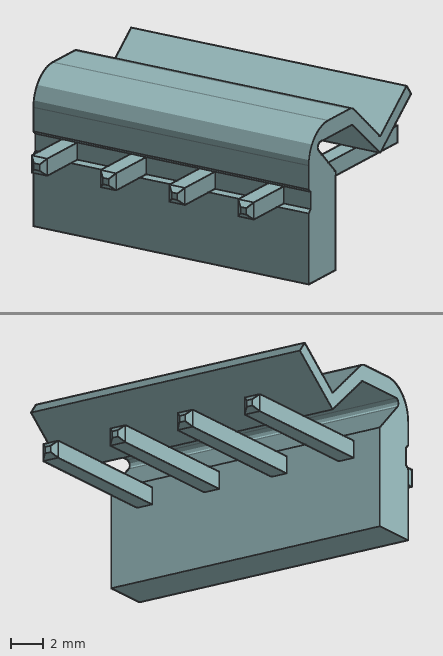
import cadquery as cq

length = 20.32
height = 10.2
wall_thickness = 3.15
bend_radius = 2.3
roof_thickness = 1.14
roof_underside = height - roof_thickness

wall_slope_bottom = 6.56
inner_corner_radius = 0.3
inner_corner_y = wall_thickness - (roof_underside - wall_slope_bottom)

knee_y = 5.1
knee_radius = 0.71
valley_y = 8.4
valley_top = 7.3
valley_bottom = 6.2
tip_upper = (11.48, 9.71)
tip_lower = (12.03, 9.02)

pin_count = 4
pin_pitch = length / pin_count
pin_side = 1.14
pin_z = 5.5
pin_front_y = -3.62
pin_length = 17.5
taper_length = 0.3
taper_end_side = 0.43

groove_depth = 0.22
groove_floor_bottom = pin_z - pin_side / 2
groove_floor_top = pin_z + pin_side / 2


def extrude_along_x(outline):
    return outline.extrude(length / 2, both=True)


def fillet_edge_at(body, y, z, radius):
    """Round the lengthwise edge running through (y, z)."""
    edge = cq.selectors.NearestToPointSelector((0, y, z))
    return body.edges("|X").edges(edge).fillet(radius)


def make_housing():
    outline = (
        cq.Workplane("YZ")
        .lineTo(0, groove_floor_bottom - groove_depth)
        .lineTo(groove_depth, groove_floor_bottom)
        .lineTo(groove_depth, groove_floor_top)
        .lineTo(0, groove_floor_top + groove_depth)
        .lineTo(0, height - bend_radius)
        .radiusArc((bend_radius, height), bend_radius)
        .lineTo(knee_y, height)
        .lineTo(valley_y, valley_top)
        .lineTo(*tip_upper)
        .lineTo(*tip_lower)
        .lineTo(valley_y, valley_bottom)
        .lineTo(knee_y, roof_underside)
        .lineTo(inner_corner_y, roof_underside)
        .lineTo(wall_thickness, wall_slope_bottom)
        .lineTo(wall_thickness, 0)
        .close()
    )
    body = extrude_along_x(outline)
    body = fillet_edge_at(body, knee_y, height, knee_radius)
    return fillet_edge_at(body, inner_corner_y, roof_underside, inner_corner_radius)


def make_pin(x):
    front = cq.Workplane("XZ", origin=(x, pin_front_y, pin_z))
    front_taper = (
        front.rect(taper_end_side, taper_end_side)
        .workplane(offset=-taper_length)
        .rect(pin_side, pin_side)
        .loft(ruled=True)
    )
    shaft = (
        front.workplane(offset=-taper_length)
        .rect(pin_side, pin_side)
        .extrude(-(pin_length - 2 * taper_length))
    )
    middle_y = pin_front_y + pin_length / 2
    rear_taper = front_taper.mirror("XZ", (x, middle_y, pin_z))
    return shaft.union(front_taper).union(rear_taper)


result = make_housing()
for index in range(pin_count):
    pin_x = (index - (pin_count - 1) / 2) * pin_pitch
    result = result.union(make_pin(pin_x))